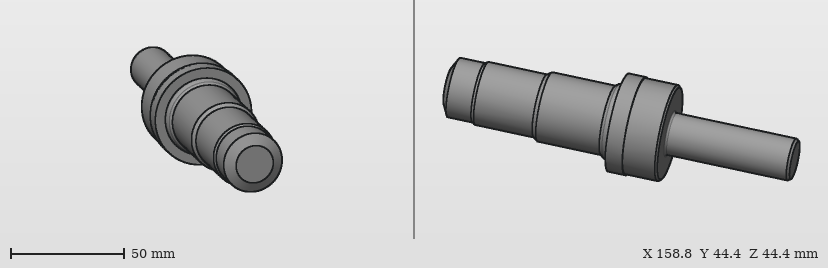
import cadquery as cq

total_length = 158.8

shank_radius = 9.5
head_radius = 21.7
flange_radius = 22.2
collar_radius = 17.6
collar_rim_radius = 16.8
body_radius = 15.7
middle_radius = 14.3
pilot_radius = 13.5
nose_radius = 8.5

head_start = 57.2
flange_start = 72.9
flange_end = 80.6
collar_end = 83.8
body_start = 85.2
body_end = 114.3
middle_start = 116.4
middle_end = 143.2
pilot_start = 144.6
pilot_end = 156.0

shank_chamfer_length = 1.3
shank_chamfer_depth = 1.0
head_chamfer = 1.0
root_fillet = 1.0

collar_offset = (collar_end - flange_end, collar_rim_radius - collar_radius)
crown_radius = (collar_offset[0] ** 2 + collar_offset[1] ** 2) / (-2 * collar_offset[1])

profile = (
    cq.Workplane("XY")
    .moveTo(0, 0)
    .lineTo(0, shank_radius - shank_chamfer_depth)
    .lineTo(shank_chamfer_length, shank_radius)
    .lineTo(head_start - root_fillet, shank_radius)
    .tangentArcPoint((root_fillet, root_fillet))
    .lineTo(head_start, head_radius - head_chamfer)
    .lineTo(head_start + head_chamfer, head_radius)
    .lineTo(flange_start, head_radius)
    .lineTo(flange_start, flange_radius)
    .lineTo(flange_end, flange_radius)
    .lineTo(flange_end, collar_radius)
    .radiusArc((collar_end, collar_rim_radius), crown_radius)
    .lineTo(body_start, body_radius)
    .lineTo(body_end, body_radius)
    .lineTo(middle_start, middle_radius)
    .lineTo(middle_end, middle_radius)
    .lineTo(pilot_start, pilot_radius)
    .lineTo(pilot_end, pilot_radius)
    .lineTo(total_length, nose_radius)
    .lineTo(total_length, 0)
    .close()
)

result = profile.revolve(360, (0, 0, 0), (1, 0, 0))